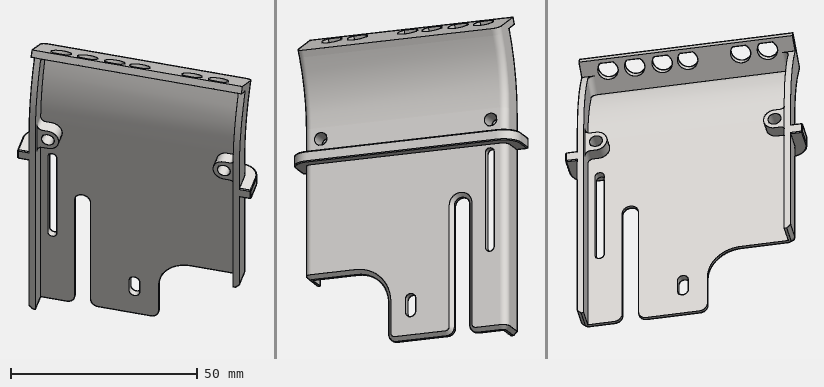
import cadquery as cq
import math

overall_height = 88.5
body_width = 58.5
body_depth = 7.5
wall_thickness = 1.8
plate_thickness = 2.0
bend_radius = 45.0
bend_angle = math.radians(30)
back_round = 2.0
pocket_corner_round = 1.7
back_chamfer = 1.1
half_width = body_width / 2
inner_half_width = half_width - wall_thickness
plate_front = body_depth - plate_thickness

lip_thickness = 2.0
lip_overhang = 4.5
lip_rise = lip_overhang * math.sin(bend_angle) + lip_thickness * math.cos(bend_angle)
bend_start = overall_height - bend_radius * math.sin(bend_angle) - lip_rise

lip_hole_xs = (-21.9, -14.5, -7.0, 0, 14.5, 21.9)
lip_hole_diameter = 5.5
lip_hole_setback = 3.3
lip_hole_flat = 2.1

boss_radius = 3.0
boss_front = 1.8
boss_hole_diameter = 3.5
boss_blend_radius = 1.5
boss_x = inner_half_width - boss_radius
boss_z = bend_start - boss_radius

rib_length = 65.0
rib_height = 3.0
rib_bottom = 52.0
rib_depth = body_depth + 3.0
rib_end_round = 5.05
rib_chamfer = 0.3

step_x = 5.3
step_height = 20.1
step_round = 9.0
corner_round = 2.2
long_slot_x = -24.25
long_slot_bottom = 22.0
long_slot_top = 51.1
long_slot_width = 2.5
open_slot_x = -15.8
open_slot_top = 38.4
open_slot_width = 4.4
short_slot_x = -1.4
short_slot_bottom = 6.2
short_slot_top = 12.7
short_slot_width = 2.9


def bend_point(depth, angle=bend_angle, rise=0):
    """Y and Z on the bend, `depth` behind the front and `rise` beyond the bend along its tangent."""
    radius = bend_radius - depth
    y = bend_radius - radius * math.cos(angle) + rise * math.sin(angle)
    z = bend_start + radius * math.sin(angle) + rise * math.cos(angle)
    return y, z


def make_blank():
    """Solid panel with its lip, its outer back edges rounded."""
    outline = (
        cq.Workplane("YZ", origin=(-half_width, 0, 0))
        .lineTo(0, bend_start)
        .threePointArc(bend_point(0, bend_angle / 2), bend_point(0))
        .lineTo(*bend_point(-lip_overhang))
        .lineTo(*bend_point(-lip_overhang, rise=lip_thickness))
        .lineTo(*bend_point(body_depth, rise=lip_thickness))
        .lineTo(*bend_point(body_depth))
        .threePointArc(bend_point(body_depth, bend_angle / 2), (body_depth, bend_start))
        .lineTo(body_depth, 0)
        .close()
    )
    return outline.extrude(body_width).edges("|Z").edges(">Y").fillet(back_round)


def make_step():
    """Corner cut away from the lower +X side."""
    return (
        cq.Workplane("XY")
        .box(half_width, body_depth, step_height, centered=False)
        .translate((step_x, 0, 0))
        .edges("|Y and <X and >Z")
        .fillet(step_round)
    )


def make_pocket():
    """Space between the side walls, in front of the plate and under the lip."""
    outline = (
        cq.Workplane("YZ", origin=(-inner_half_width, 0, 0))
        .lineTo(0, bend_start)
        .threePointArc(bend_point(0, bend_angle / 2), bend_point(0))
        .lineTo(*bend_point(plate_front))
        .threePointArc(bend_point(plate_front, bend_angle / 2), (plate_front, bend_start))
        .lineTo(plate_front, 0)
        .close()
    )
    pocket = outline.extrude(2 * inner_half_width)
    return pocket.faces(">Z").edges("not |X").fillet(pocket_corner_round)


def make_boss(side):
    """Boss blended into the side wall; `side` is -1 or 1."""
    blend_start = inner_half_width - boss_blend_radius
    blend_bulge = boss_blend_radius * (1 - math.sqrt(0.5))
    blend_end = boss_radius + boss_blend_radius
    blend_middle = (inner_half_width - blend_bulge, boss_radius + blend_bulge)
    overlap_x = half_width - wall_thickness / 2
    boss = (
        cq.Workplane("XZ", origin=(0, boss_front, boss_z))
        .moveTo(boss_x, boss_radius)
        .lineTo(blend_start, boss_radius)
        .threePointArc(blend_middle, (inner_half_width, blend_end))
        .lineTo(overlap_x, blend_end)
        .lineTo(overlap_x, -blend_end)
        .lineTo(inner_half_width, -blend_end)
        .threePointArc((blend_middle[0], -blend_middle[1]), (blend_start, -boss_radius))
        .lineTo(boss_x, -boss_radius)
        .threePointArc((boss_x - boss_radius, 0), (boss_x, boss_radius))
        .close()
        .extrude(boss_front - body_depth + plate_thickness / 2)
    )
    return boss if side > 0 else boss.mirror("YZ")


def make_rib():
    """Bar as deep as the rib; the pocket, cut later, leaves only its back and its two ends."""
    return (
        cq.Workplane("XY", origin=(0, rib_depth / 2, rib_bottom))
        .rect(rib_length, rib_depth)
        .extrude(rib_height)
        .edges("|Z and >Y")
        .fillet(rib_end_round)
        .faces("<Z or >Z or <Y")
        .edges()
        .chamfer(rib_chamfer)
    )


def make_slot(x, bottom, top, width):
    """Upright round-ended slot through the plate."""
    return (
        cq.Workplane("XZ", origin=(x, 0, (bottom + top) / 2))
        .slot2D(top - bottom, width, 90)
        .extrude(-rib_depth)
    )


def make_lip_holes():
    """Round holes through the lip, each with a flat on its front side."""
    lip_top = cq.Plane(
        origin=(0, *bend_point(-lip_overhang, rise=lip_thickness)),
        xDir=(1, 0, 0),
        normal=(0, math.sin(bend_angle), math.cos(bend_angle)),
    )
    centers = [(x, lip_hole_setback) for x in lip_hole_xs]
    holes = cq.Workplane(lip_top).pushPoints(centers).circle(lip_hole_diameter / 2).extrude(-lip_thickness)
    front_strip = (
        cq.Workplane(lip_top)
        .center(0, lip_hole_setback - lip_hole_flat - lip_hole_diameter / 2)
        .rect(body_width, lip_hole_diameter)
        .extrude(-lip_thickness)
    )
    return holes.cut(front_strip)


panel = make_blank().cut(make_step())
panel = panel.cut(make_slot(open_slot_x, -open_slot_width, open_slot_top, open_slot_width))
for corner_x in (open_slot_x - open_slot_width / 2, open_slot_x + open_slot_width / 2, step_x):
    corner = cq.selectors.NearestToPointSelector((corner_x, body_depth / 2, 0))
    panel = panel.edges("|Y").edges(corner).fillet(corner_round)

step_back_edge = cq.selectors.NearestToPointSelector((half_width / 2 + step_x, body_depth, step_height))
panel = panel.edges(step_back_edge).chamfer(back_chamfer)

panel = panel.union(make_rib()).cut(make_pocket())
panel = panel.cut(make_slot(long_slot_x, long_slot_bottom, long_slot_top, long_slot_width))
panel = panel.cut(make_slot(short_slot_x, short_slot_bottom, short_slot_top, short_slot_width))

for side in (-1, 1):
    panel = panel.union(make_boss(side))
boss_holes = (
    cq.Workplane("XZ", origin=(0, 0, boss_z))
    .pushPoints([(-boss_x, 0), (boss_x, 0)])
    .circle(boss_hole_diameter / 2)
    .extrude(-rib_depth)
)

result = panel.cut(boss_holes).cut(make_lip_holes())